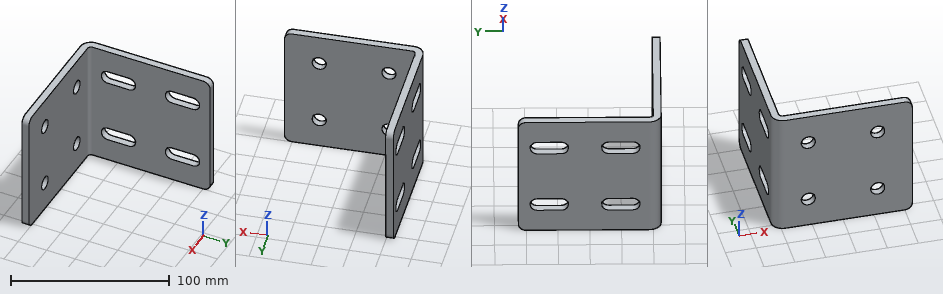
import cadquery as cq

flange_length = 90.0
height = 86.0
thickness = 5.0
inner_bend_radius = 2.5
outer_bend_radius = inner_bend_radius + thickness
corner_radius = 5.0

pattern_pitch = 45.0
fastener_width = 9.0
slot_length = 24.0
first_hole_x = 22.5
first_slot_y = 25.5


def pattern_points(first_offset):
    """Fastener centres as (distance along the flange, Z)."""
    lowest_z = (height - pattern_pitch) / 2
    return [
        (first_offset + column * pattern_pitch, lowest_z + row * pattern_pitch)
        for column in range(2)
        for row in range(2)
    ]


def bent_sheet():
    """L-shaped sheet with concentric inner and outer bend radii."""
    profile = [
        (0, 0),
        (flange_length, 0),
        (flange_length, thickness),
        (thickness, thickness),
        (thickness, flange_length),
        (0, flange_length),
    ]
    sheet = cq.Workplane("XY").polyline(profile).close().extrude(height)
    inner_corner = cq.selectors.NearestToPointSelector((thickness, thickness, height / 2))
    sheet = sheet.edges(inner_corner).fillet(inner_bend_radius)
    outer_corner = cq.selectors.NearestToPointSelector((0, 0, height / 2))
    return sheet.edges(outer_corner).fillet(outer_bend_radius)


def round_free_corners(sheet):
    """Round the two free corners of each flange through the thickness."""
    sheet = sheet.faces(">X").edges("|Y").fillet(corner_radius)
    return sheet.faces(">Y").edges("|X").fillet(corner_radius)


def hole_cutters():
    """Round holes through the flange lying along X."""
    return (
        cq.Workplane("XZ")
        .pushPoints(pattern_points(first_hole_x))
        .circle(fastener_width / 2)
        .extrude(-thickness)
    )


def slot_cutters():
    """Slots through the flange lying along Y, long in Y."""
    return (
        cq.Workplane("YZ")
        .pushPoints(pattern_points(first_slot_y))
        .slot2D(slot_length, fastener_width)
        .extrude(thickness)
    )


result = round_free_corners(bent_sheet()).cut(hole_cutters()).cut(slot_cutters())